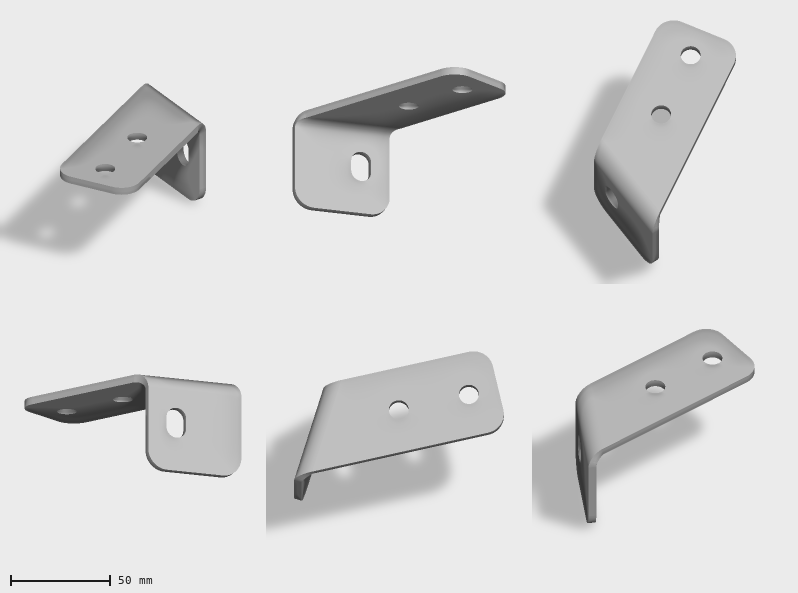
import cadquery as cq
import math

plate_width = 43.3
total_length = 109.8
total_height = 50.0
thickness = 4.0
corner_radius = 10.0

bend_skew = math.radians(30)
inner_radius = 4.1
outer_radius = inner_radius + thickness

hole_diameter = 10.0
hole_spacing = 36.0
first_hole_y = 15.0
slot_width = 10.5
slot_length = 15.5
slot_depth_below_top = 25.0
slot_from_right_end = 15.0

bend_start_y = total_length - outer_radius / math.cos(bend_skew)
bend_end_y = bend_start_y - plate_width * math.tan(bend_skew)
flange_length = plate_width / math.cos(bend_skew)
flange_height = total_height - outer_radius
flange_shift = -outer_radius * math.tan(bend_skew)

bend_frame = cq.Plane(
    origin=(0, bend_start_y, -outer_radius),
    xDir=(math.cos(bend_skew), -math.sin(bend_skew), 0),
    normal=(math.sin(bend_skew), math.cos(bend_skew), 0),
)


def make_plate():
    outline = [(0, 0), (plate_width, 0), (plate_width, bend_end_y), (0, bend_start_y)]
    plate = cq.Workplane("XY").polyline(outline).close().extrude(-thickness)
    plate = plate.edges("|Z and <Y").fillet(corner_radius)
    hole_centers = [(plate_width / 2, first_hole_y + i * hole_spacing) for i in range(2)]
    holes = cq.Workplane("XY").pushPoints(hole_centers).circle(hole_diameter / 2).extrude(-thickness)
    return plate.cut(holes)


def make_flange():
    flange_start = cq.Workplane(bend_frame).workplane(offset=inner_radius).center(flange_shift, 0)
    blank = (
        flange_start.lineTo(flange_length, 0)
        .lineTo(flange_length, flange_height - corner_radius)
        .radiusArc((flange_length - corner_radius, flange_height), -corner_radius)
        .lineTo(corner_radius, flange_height)
        .radiusArc((0, flange_height - corner_radius), -corner_radius)
        .close()
        .extrude(thickness)
    )
    slot = (
        flange_start.center(flange_length - slot_from_right_end, slot_depth_below_top - outer_radius)
        .slot2D(slot_length, slot_width, angle=90)
        .extrude(thickness)
    )
    return blank.cut(slot)


def bend_edge(radius, start_along):
    """Elliptical quarter-turn edge of a bend end, drifting along the bend from the plate to the flange."""
    curve = cq.Workplane(bend_frame).parametricCurve(
        lambda t: (
            start_along + flange_shift * math.sin(t * math.pi / 2),
            -radius * math.cos(t * math.pi / 2),
            radius * math.sin(t * math.pi / 2),
        ),
        N=24,
        makeWire=False,
    )
    return curve.val()


def make_bend():
    edges = [
        bend_edge(outer_radius, 0),
        bend_edge(outer_radius, flange_length),
        bend_edge(inner_radius, flange_length),
        bend_edge(inner_radius, 0),
    ]
    faces = [cq.Face.makeRuledSurface(edges[i - 1], edges[i]) for i in range(len(edges))]
    for corners in ([e.startPoint() for e in edges], [e.endPoint() for e in edges]):
        faces.append(cq.Face.makeFromWires(cq.Wire.makePolygon(corners, close=True)))
    return cq.Workplane(cq.Solid.makeSolid(cq.Shell.makeShell(faces)).fix())


result = make_plate().union(make_bend()).union(make_flange())